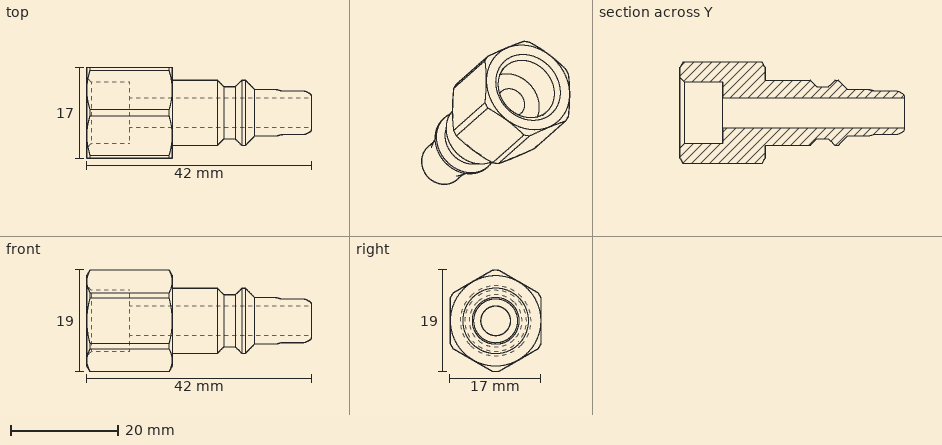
import cadquery as cq
import math

hex_sides = 6
hex_length = 16.0
across_flats = 17.0
across_corners = 19.0
hex_face_diameter = 16.9
hex_chamfer_angle = 30.0

total_length = 42.0
collar_diameter = 12.25
groove_diameter = 9.8
guide_diameter = 8.75
nose_diameter = 8.2
shank_end = 24.4
groove_start = 25.6
groove_end = 27.75
collar_start = 29.0
collar_end = 29.65
guide_start = 31.35
guide_end = 35.2
nose_start = 36.6

nose_round_start = 40.4
nose_cone_angle = 30.0
shoulder_round_radius = 1.5
tip_round_radius = 0.6

through_bore_diameter = 5.5
socket_bore_diameter = 11.45
socket_depth = 8.0
countersink_diameter = 13.15
countersink_depth = (countersink_diameter - socket_bore_diameter) / 2


def revolve_about_x(points):
    """Solid of revolution from (x, diameter) points, closed along the X axis."""
    profile = [(x, diameter / 2) for x, diameter in points]
    outline = [(points[0][0], 0)] + profile + [(points[-1][0], 0)]
    return cq.Workplane("XY").polyline(outline).close().revolve(360, (0, 0, 0), (1, 0, 0))


def make_hexagon():
    """Hexagon with corners along Z, turned corners and both ends chamfered."""
    sharp_corners = across_flats / math.cos(math.pi / hex_sides)
    prism = cq.Workplane("YZ").polygon(hex_sides, sharp_corners).extrude(hex_length)
    prism = prism.rotate((0, 0, 0), (1, 0, 0), 90)
    chamfer_height = (across_corners - hex_face_diameter) / 2
    chamfer_length = chamfer_height * math.tan(math.radians(hex_chamfer_angle))
    turned_blank = revolve_about_x([
        (0, hex_face_diameter),
        (chamfer_length, across_corners),
        (hex_length - chamfer_length, across_corners),
        (hex_length, hex_face_diameter),
    ])
    return prism.intersect(turned_blank)


def point_on_round(center, radius, angle):
    """Point on a circle, with the angle in degrees measured from the radial direction towards +X."""
    turn = math.radians(angle)
    return (center[0] + radius * math.sin(turn), center[1] + radius * math.cos(turn))


def make_stem():
    """Stepped plug with a retaining groove, a locking collar and a rounded nose."""
    collar_radius = collar_diameter / 2
    groove_radius = groove_diameter / 2
    guide_radius = guide_diameter / 2
    nose_radius = nose_diameter / 2

    shoulder_center = (nose_round_start, nose_radius - shoulder_round_radius)
    shoulder_middle = point_on_round(shoulder_center, shoulder_round_radius, nose_cone_angle / 2)
    cone_start = point_on_round(shoulder_center, shoulder_round_radius, nose_cone_angle)

    cone_slope = math.tan(math.radians(nose_cone_angle))
    tip_center_x = total_length - tip_round_radius
    cone_end_x, tip_rise = point_on_round((tip_center_x, 0), tip_round_radius, nose_cone_angle)
    cone_end_radius = cone_start[1] - (cone_end_x - cone_start[0]) * cone_slope
    tip_center = (tip_center_x, cone_end_radius - tip_rise)
    tip_middle = point_on_round(tip_center, tip_round_radius, (nose_cone_angle + 90) / 2)
    tip_end = point_on_round(tip_center, tip_round_radius, 90)

    profile = (
        cq.Workplane("XY")
        .moveTo(hex_length, 0)
        .lineTo(hex_length, collar_radius)
        .lineTo(shank_end, collar_radius)
        .lineTo(groove_start, groove_radius)
        .lineTo(groove_end, groove_radius)
        .lineTo(collar_start, collar_radius)
        .lineTo(collar_end, collar_radius)
        .lineTo(guide_start, guide_radius)
        .lineTo(guide_end, guide_radius)
        .spline([(nose_start, nose_radius)], tangents=[(1, 0), (1, 0)], includeCurrent=True)
        .lineTo(nose_round_start, nose_radius)
        .threePointArc(shoulder_middle, cone_start)
        .lineTo(cone_end_x, cone_end_radius)
        .threePointArc(tip_middle, tip_end)
        .lineTo(total_length, 0)
        .close()
    )
    return profile.revolve(360, (0, 0, 0), (1, 0, 0))


def make_cavity():
    """Countersunk socket bore followed by the narrow flow bore."""
    return revolve_about_x([
        (0, countersink_diameter),
        (countersink_depth, socket_bore_diameter),
        (socket_depth, socket_bore_diameter),
        (socket_depth, through_bore_diameter),
        (total_length, through_bore_diameter),
    ])


result = make_hexagon().union(make_stem()).cut(make_cavity())